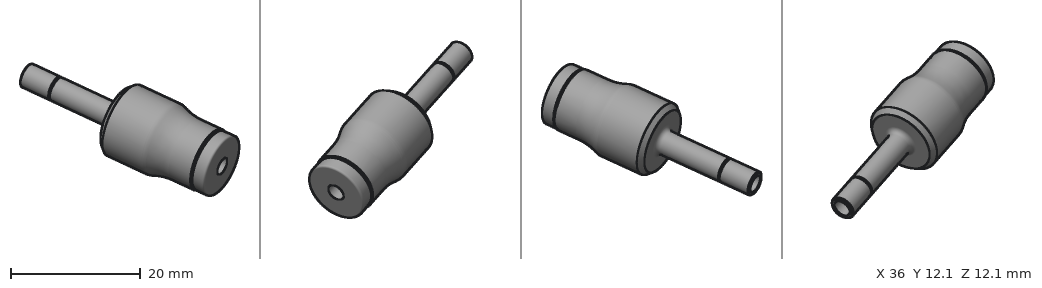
import cadquery as cq
import math

LENGTH = 36.0
X_START = -LENGTH / 2
X_END = LENGTH / 2

BORE_RADIUS = 1.4

STEM_DIAMETER = 4.0
STEM_RADIUS = STEM_DIAMETER / 2
STEM_TIP_CHAMFER = 0.15
STEM_LENGTH = 16.95
STEM_ROOT_FILLET = 0.8
GROOVE_POSITION = 5.4
GROOVE_WIDTH = 0.3
GROOVE_DEPTH = 0.1

BODY_RADIUS = 6.05
BODY_CHAMFER_LENGTH = 0.9
BODY_CHAMFER_DEPTH = 0.8

SHOULDER_POSITION = 25.05
SHOULDER_LENGTH = 4.45
SHOULDER_CREST_LENGTH = 0.85
SLEEVE_RADIUS = 5.2

COLLAR_RADIUS = 5.08
COLLAR_LENGTH = 2.3
COLLAR_EDGE_CHAMFER = 0.07
COLLAR_END_FILLET = 0.32
NECK_RADIUS = 4.45
NECK_LENGTH = 0.25


def arc_middle(center_x, center_r, radius, start_angle, end_angle):
    """Point halfway along an arc, with its angles in radians."""
    angle = (start_angle + end_angle) / 2
    return center_x + radius * math.cos(angle), center_r + radius * math.sin(angle)


def add_stem(outline):
    """Stem outline from its chamfered tip to the fillet at its root."""
    groove_x = X_START + GROOVE_POSITION
    face_x = X_START + STEM_LENGTH
    fillet_x = face_x - STEM_ROOT_FILLET
    fillet_r = STEM_RADIUS + STEM_ROOT_FILLET
    return (
        outline.lineTo(X_START, STEM_RADIUS - STEM_TIP_CHAMFER)
        .lineTo(X_START + STEM_TIP_CHAMFER, STEM_RADIUS)
        .lineTo(groove_x - GROOVE_WIDTH / 2, STEM_RADIUS)
        .lineTo(groove_x, STEM_RADIUS - GROOVE_DEPTH)
        .lineTo(groove_x + GROOVE_WIDTH / 2, STEM_RADIUS)
        .lineTo(fillet_x, STEM_RADIUS)
        .threePointArc(
            arc_middle(fillet_x, fillet_r, STEM_ROOT_FILLET, -math.pi / 2, 0),
            (face_x, fillet_r),
        )
    )


def add_body(outline):
    """Body outline: front face, chamfer, cylinder and S-shaped shoulder."""
    face_x = X_START + STEM_LENGTH
    crest_x = X_START + SHOULDER_POSITION
    foot_x = crest_x + SHOULDER_LENGTH

    drop = BODY_RADIUS - SLEEVE_RADIUS
    radius_sum = (SHOULDER_LENGTH**2 + drop**2) / (2 * drop)
    crest_radius = radius_sum * SHOULDER_CREST_LENGTH / SHOULDER_LENGTH
    foot_radius = radius_sum - crest_radius
    turn = math.asin(SHOULDER_LENGTH / radius_sum)
    crest_center_r = BODY_RADIUS - crest_radius
    foot_center_r = SLEEVE_RADIUS + foot_radius
    joint = (crest_x + SHOULDER_CREST_LENGTH, crest_center_r + crest_radius * math.cos(turn))

    up = math.pi / 2
    return (
        outline.lineTo(face_x, BODY_RADIUS - BODY_CHAMFER_DEPTH)
        .lineTo(face_x + BODY_CHAMFER_LENGTH, BODY_RADIUS)
        .lineTo(crest_x, BODY_RADIUS)
        .threePointArc(arc_middle(crest_x, crest_center_r, crest_radius, up, up - turn), joint)
        .threePointArc(
            arc_middle(foot_x, foot_center_r, foot_radius, -up - turn, -up),
            (foot_x, SLEEVE_RADIUS),
        )
    )


def add_socket_end(outline):
    """Sleeve, neck and collar outline, ending on the right face."""
    collar_x = X_END - COLLAR_LENGTH
    neck_x = collar_x - NECK_LENGTH
    fillet_x = X_END - COLLAR_END_FILLET
    fillet_r = COLLAR_RADIUS - COLLAR_END_FILLET
    return (
        outline.lineTo(neck_x, SLEEVE_RADIUS)
        .lineTo(neck_x, NECK_RADIUS)
        .lineTo(collar_x, NECK_RADIUS)
        .lineTo(collar_x, COLLAR_RADIUS - COLLAR_EDGE_CHAMFER)
        .lineTo(collar_x + COLLAR_EDGE_CHAMFER, COLLAR_RADIUS)
        .lineTo(fillet_x, COLLAR_RADIUS)
        .threePointArc(
            arc_middle(fillet_x, fillet_r, COLLAR_END_FILLET, math.pi / 2, 0),
            (X_END, fillet_r),
        )
    )


half_section = cq.Workplane("XY").moveTo(X_START, BORE_RADIUS)
half_section = add_stem(half_section)
half_section = add_body(half_section)
half_section = add_socket_end(half_section)
half_section = half_section.lineTo(X_END, BORE_RADIUS).close()

result = half_section.revolve(360, (0, 0, 0), (1, 0, 0))